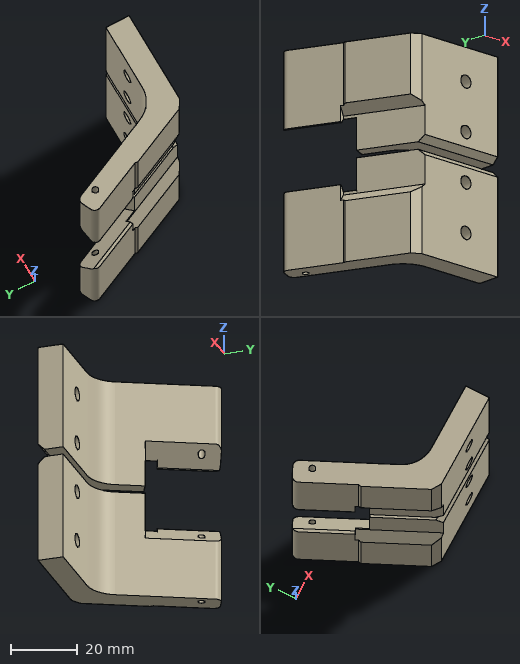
import cadquery as cq
import math


half_height = 35.0
half_gap = 1.2
plate_thickness = 8.0
arm_thickness = 7.5
plate_length = 33.05
arm_length = 43.95
arm_lean = math.radians(25)
bend_radius = 10.0
corner_chamfer = 2.0
tip_radius = 2.0

step_depth = 0.5
step_start = 23.25
step_run = 0.7

recess_depth = 3.0
recess_end = 25.0
recess_floor_z = 12.5

tab_end = 20.8
window_half_height = 10.0
window_lip = 1.55

edge_chamfer = 2.0
mounting_hole_diameter = 4.1
mounting_hole_from_end = 13.0
mounting_hole_pitch = 16.0
mounting_hole_heights = [mounting_hole_pitch / 2, 1.5 * mounting_hole_pitch]

pin_hole_diameter = 2.0
pin_hole_from_tip = 5.95
pin_hole_depth_in_arm = 5.05

overrun = 14.0


def arm_point(along, inward):
    """XY point at a distance along the arm and inward from its outer line."""
    x = inward * math.cos(arm_lean) - along * math.sin(arm_lean)
    y = inward * math.sin(arm_lean) + along * math.cos(arm_lean)
    return (x, y)


def arm_prism(section, start, end):
    """Prism along the arm, with a section given as (inward, Z) points."""
    origin_x, origin_y = arm_point(start, 0)
    plane = cq.Plane(
        origin=(origin_x, origin_y, 0),
        xDir=(math.cos(arm_lean), math.sin(arm_lean), 0),
        normal=(math.sin(arm_lean), -math.cos(arm_lean), 0),
    )
    return cq.Workplane(plane).polyline(section).close().extrude(start - end)


def angled_blank():
    """Plate and arm as one prism, with its bend and arm tip rounded."""
    inner_corner_along = (plate_thickness - arm_thickness * math.sin(arm_lean)) / math.cos(arm_lean)
    inner_corner = arm_point(inner_corner_along, arm_thickness)
    tip_inner = arm_point(arm_length, arm_thickness)
    tip_outer = arm_point(arm_length, step_depth)
    outline = [
        (corner_chamfer, 0),
        (plate_length, 0),
        (plate_length, plate_thickness),
        inner_corner,
        tip_inner,
        tip_outer,
        arm_point(step_start + step_run, step_depth),
        arm_point(step_start, 0),
        arm_point(corner_chamfer, 0),
    ]
    blank = (
        cq.Workplane("XY")
        .workplane(offset=half_gap)
        .polyline(outline)
        .close()
        .extrude(half_height - half_gap)
    )
    middle_z = (half_height + half_gap) / 2
    bend_edge = cq.selectors.NearestToPointSelector((*inner_corner, middle_z))
    blank = blank.edges(bend_edge).fillet(bend_radius)
    for corner in (tip_inner, tip_outer):
        tip_edge = cq.selectors.NearestToPointSelector((*corner, middle_z))
        blank = blank.edges(tip_edge).fillet(tip_radius)
    return blank


def recess_cutter():
    """Recess with a floor parallel to the arm and a 45 degree flank."""
    section = [
        (recess_depth, 0),
        (recess_depth, recess_floor_z),
        (-overrun, recess_floor_z + recess_depth + overrun),
        (-overrun, 0),
    ]
    return arm_prism(section, -overrun, recess_end)


def window_cutter():
    """Window beyond the tab, flaring at 45 degrees toward the inner face."""
    far_side = arm_thickness + overrun
    section = [
        (-overrun, 0),
        (-overrun, window_half_height),
        (window_lip, window_half_height),
        (far_side, window_half_height + far_side - window_lip),
        (far_side, 0),
    ]
    return arm_prism(section, tab_end, arm_length + overrun)


def edge_chamfer_cutter():
    """45 degree chamfer on the front edge of the plate, beside the gap."""
    return (
        cq.Workplane("YZ")
        .polyline([(0, half_gap), (edge_chamfer, half_gap), (0, half_gap + edge_chamfer)])
        .close()
        .extrude(plate_length)
    )


def mounting_hole_cutter():
    hole_x = plate_length - mounting_hole_from_end
    return (
        cq.Workplane("XZ")
        .pushPoints([(hole_x, height) for height in mounting_hole_heights])
        .circle(mounting_hole_diameter / 2)
        .extrude(-plate_thickness)
    )


def pin_hole_cutter():
    hole_center = arm_point(arm_length - pin_hole_from_tip, pin_hole_depth_in_arm)
    return (
        cq.Workplane("XY")
        .center(*hole_center)
        .circle(pin_hole_diameter / 2)
        .extrude(half_height)
    )


def make_bracket():
    """Upper bracket, above Z = 0."""
    return (
        angled_blank()
        .cut(recess_cutter())
        .cut(window_cutter())
        .cut(edge_chamfer_cutter())
        .cut(mounting_hole_cutter())
        .cut(pin_hole_cutter())
    )


upper_bracket = make_bracket()
brackets = []
for is_lower in (False, True):
    bracket = upper_bracket.mirror("XY") if is_lower else upper_bracket
    brackets.append(bracket.val())

result = cq.Compound.makeCompound(brackets)